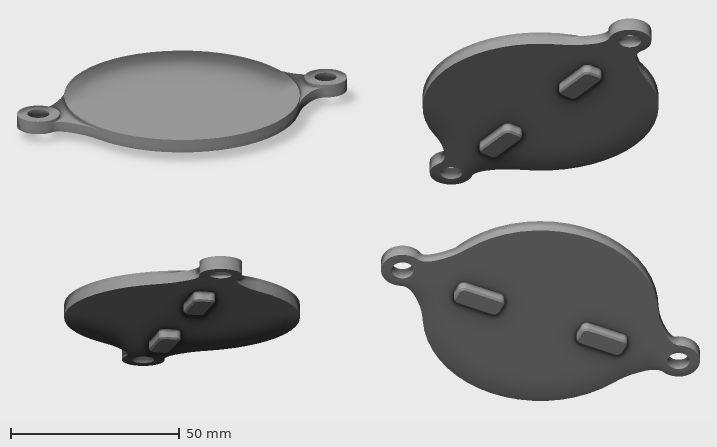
import cadquery as cq

disc_radius = 35.0
plate_thickness = 4.0

overall_length = 102.7
lug_radius = 6.4
lug_hole_diameter = 6.6
lug_offset = overall_length / 2 - lug_radius

web_thickness = 3.1
web_lug_y = 42.8
web_disc_half_width = 16.2
web_waist_half_width = 8.8
web_waist_y = 36.5

key_length = 14.9
key_width = 6.6
key_depth = 3.0
key_offset = 20.0
key_corner_radius = 2.0
key_edge_chamfer = 0.5


def circle_half_chord(radius, distance):
    """Half the chord of a circle at a distance from its centre."""
    return (radius**2 - distance**2) ** 0.5


def make_web(side):
    """Web with concave flanks, running from the disc to the lug on one side."""
    lug_half_width = circle_half_chord(lug_radius, lug_offset - web_lug_y)
    disc_y = circle_half_chord(disc_radius, web_disc_half_width)
    lug_end = (lug_half_width, side * web_lug_y)
    waist = (web_waist_half_width, side * web_waist_y)
    disc_end = (web_disc_half_width, side * disc_y)
    lug_tangent = (-(lug_offset - web_lug_y), -side * lug_half_width)
    disc_tangent = (disc_y, -side * web_disc_half_width)
    half_web = (
        cq.Workplane("XY")
        .moveTo(0, lug_end[1])
        .lineTo(*lug_end)
        .spline([waist, disc_end], tangents=[lug_tangent, disc_tangent], includeCurrent=True)
        .lineTo(0, disc_end[1])
        .close()
        .extrude(web_thickness)
    )
    return half_web.union(half_web.mirror("YZ"))


def make_lug(side):
    """Round lug, level with the disc on both faces."""
    return cq.Workplane("XY").center(0, side * lug_offset).circle(lug_radius).extrude(plate_thickness)


def make_key(side):
    """Rounded key with a chamfered lower rim."""
    return (
        cq.Workplane("XY")
        .center(0, side * key_offset)
        .rect(key_width, key_length)
        .extrude(-key_depth)
        .edges("|Z")
        .fillet(key_corner_radius)
        .faces("<Z")
        .edges()
        .chamfer(key_edge_chamfer)
    )


result = cq.Workplane("XY").circle(disc_radius).extrude(plate_thickness)
for side in (-1, 1):
    result = result.union(make_web(side)).union(make_lug(side)).union(make_key(side))

lug_holes = (
    cq.Workplane("XY")
    .pushPoints([(0, -lug_offset), (0, lug_offset)])
    .circle(lug_hole_diameter / 2)
    .extrude(plate_thickness)
)
result = result.cut(lug_holes)